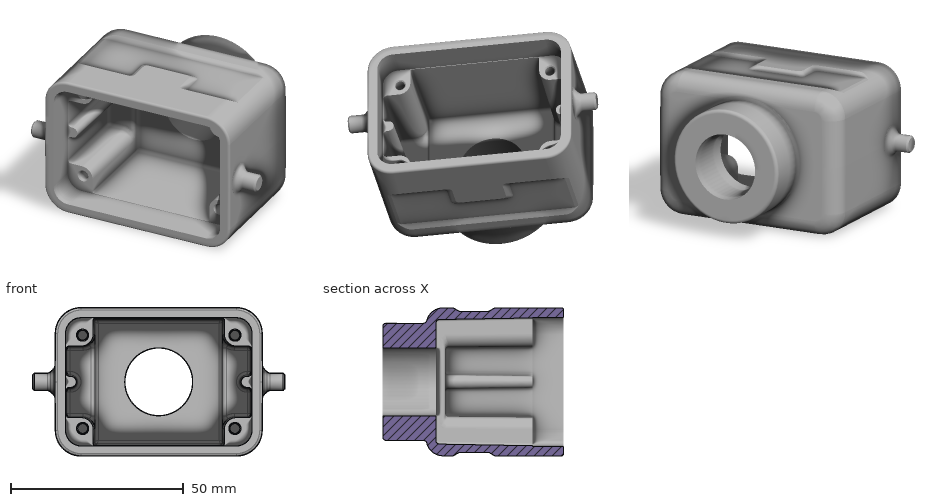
import cadquery as cq
import math

total_length = 52.5
body_depth = 39.9
body_half_x = 29.9
side_crown = 0.15
body_half_z = 21.5
corner_radius = 7.5
back_radius = 5.05
rim_radius = 0.7
wall = 2.9

neck_diameter = 34.1
neck_edge_radius = 1.0
neck_root_radius = 0.9
bore_diameter = 19.6

mouth_depth = 9.0
mouth_half_x = body_half_x - wall
mouth_half_z = body_half_z - wall
mouth_radius = corner_radius - wall
pocket_half_x = 19.0
pocket_half_z = mouth_half_z - 0.15
pocket_draft = 1.0
pocket_floor = body_depth - wall
bay_half_x = mouth_half_x - 0.15
bay_half_z = 10.4
bay_draft = 0.5
bay_floor = 34.3
pillar_radius = 3.4
inner_radius = 1.0
pocket_corner_radius = 0.6

rib_radius = 1.6
rib_tip_x = 23.9
rib_draft = 0.8

screw_x = 22.05
screw_z = 13.5
screw_diameter = 2.85
screw_mouth_diameter = 3.5
screw_depth = 10.95

pin_tip_x = 36.5
pin_y = 6.2
pin_radius = 2.55
pin_tip_chamfer = 0.5
pin_cone_corner_x = 31.7
pin_root_radius = 1.4

recess_depth = 1.0
recess_slope = 60.0
recess_front = 13.8
recess_back = 30.3
tongue_half_x = 9.2
tongue_back = 21.75
tongue_edge_radius = 2.9
recess_floor_half_x = 25.6
recess_edge_drop = 0.4
recess_edge_width = 1.5


def xz_plane(y):
    """Workplane at depth y with its normal along +Y; local axes are -X and Z."""
    return cq.Workplane(cq.Plane(origin=(0, y, 0), xDir=(-1, 0, 0), normal=(0, 1, 0)))


def tapered_pocket(half_x, half_z, floor, draft):
    """Drafted box cutter from the mouth to the given floor."""
    return xz_plane(mouth_depth).rect(2 * half_x, 2 * half_z).extrude(floor - mouth_depth, taper=draft)


def make_body():
    side_x = body_half_x + side_crown
    outline = [
        (side_x, 0),
        (body_half_x, body_half_z),
        (-body_half_x, body_half_z),
        (-side_x, 0),
        (-body_half_x, -body_half_z),
        (body_half_x, -body_half_z),
    ]
    body = xz_plane(0).polyline(outline).close().extrude(body_depth)
    side_bends = cq.selectors.BoxSelector((-72.3, -72.3, -0.7), (72.3, 72.3, 0.7))
    body = body.edges("|Y").edges(cq.selectors.InverseSelector(side_bends)).fillet(corner_radius)
    body = body.faces(">Y").edges().fillet(back_radius)
    return body.faces("<Y").edges().fillet(rim_radius)


def add_neck(body):
    neck = xz_plane(pocket_floor).circle(neck_diameter / 2).extrude(total_length - pocket_floor)
    neck = neck.faces(">Y").edges().fillet(neck_edge_radius)
    body = body.union(neck)
    reach = neck_diameter / 2 + neck_root_radius
    root = cq.selectors.BoxSelector(
        (-reach, body_depth - back_radius, -reach),
        (reach, body_depth + neck_root_radius / 2, reach),
        boundingbox=True,
    )
    return body.edges(root).fillet(neck_root_radius)


def make_pin():
    """Pin on the +X side: chamfered tip and a 45 degree root cone blended at both ends."""
    wall_x = body_half_x + side_crown
    cone_base_radius = pin_radius + pin_cone_corner_x - wall_x
    blend_length = pin_root_radius * math.tan(math.radians(22.5))
    blend_step = blend_length * math.cos(math.radians(45))
    profile = (
        cq.Workplane("XY", origin=(0, pin_y, 0))
        .moveTo(body_half_x - wall / 2, 0)
        .lineTo(pin_tip_x, 0)
        .lineTo(pin_tip_x, pin_radius - pin_tip_chamfer)
        .lineTo(pin_tip_x - pin_tip_chamfer, pin_radius)
        .lineTo(pin_cone_corner_x + blend_length, pin_radius)
        .tangentArcPoint((pin_cone_corner_x - blend_step, pin_radius + blend_step), relative=False)
        .lineTo(wall_x + blend_step, cone_base_radius - blend_step)
        .tangentArcPoint((wall_x, cone_base_radius + blend_length), relative=False)
        .lineTo(body_half_x - wall / 2, cone_base_radius + blend_length)
        .close()
    )
    return profile.revolve(360, (0, 0, 0), (1, 0, 0))


def both_sides(min_corner, max_corner):
    """Selector for edges wholly inside a box or its mirror image across X = 0."""
    x0, y0, z0 = min_corner
    x1, y1, z1 = max_corner
    plus = cq.selectors.BoxSelector((x0, y0, z0), (x1, y1, z1), boundingbox=True)
    minus = cq.selectors.BoxSelector((-x1, y0, z0), (-x0, y1, z1), boundingbox=True)
    return plus + minus


def make_cavity():
    mouth = xz_plane(0).rect(2 * mouth_half_x, 2 * mouth_half_z).extrude(mouth_depth)
    mouth = mouth.edges("|Y").fillet(mouth_radius)

    pocket = tapered_pocket(pocket_half_x, pocket_half_z, pocket_floor, pocket_draft)
    pocket = pocket.edges("not(#Y)").fillet(pocket_corner_radius)
    pocket = pocket.faces(">Y").edges().fillet(inner_radius)

    bays = tapered_pocket(bay_half_x, bay_half_z, bay_floor, bay_draft)
    for side in (1, -1):
        bays = bays.cut(make_rib(side))
    inside = pocket.union(bays)

    gap = 0.1
    start_y = mouth_depth - gap
    end_y = bay_floor + gap
    near_x = pocket_half_x - 0.7
    far_x = pocket_half_x + gap
    near_z = bay_half_z - 0.7
    far_z = bay_half_z + gap
    upper = both_sides((near_x, start_y, near_z), (far_x, end_y, far_z))
    lower = both_sides((near_x, start_y, -far_z), (far_x, end_y, -near_z))
    inside = inside.edges(upper + lower).fillet(pillar_radius)

    reach_z = bay_half_z + pillar_radius
    floor_edges = both_sides((near_x, bay_floor - gap, -reach_z), (body_half_x, end_y, reach_z))
    wall_corners = both_sides((bay_half_x - 0.7, start_y, -reach_z), (body_half_x, end_y, reach_z))
    upright = cq.selectors.ParallelDirSelector(cq.Vector(0, 0, 1))
    inside = inside.edges(floor_edges + (wall_corners - upright)).fillet(inner_radius)
    return mouth.union(inside)


def make_rib(side):
    """Round-nosed guide rib along one side wall; side is 1 for +X, -1 for -X."""
    nose_x = rib_tip_x + rib_radius
    rib = (
        xz_plane(mouth_depth)
        .moveTo(-side * body_half_x, rib_radius)
        .lineTo(-side * nose_x, rib_radius)
        .threePointArc((-side * rib_tip_x, 0), (-side * nose_x, -rib_radius))
        .lineTo(-side * body_half_x, -rib_radius)
        .close()
    )
    return rib.extrude(pocket_floor - mouth_depth, taper=-rib_draft)


def make_screw_holes():
    centers = [(x, z) for x in (-screw_x, screw_x) for z in (-screw_z, screw_z)]
    holes = xz_plane(mouth_depth).pushPoints(centers).circle(screw_diameter / 2).extrude(screw_depth)
    sink_depth = (screw_mouth_diameter - screw_diameter) / 2
    sinks = xz_plane(mouth_depth).pushPoints(centers).circle(screw_mouth_diameter / 2)
    return holes.union(sinks.extrude(sink_depth, taper=45))


def make_recess():
    """Cutter for the label recess on the +Z face."""
    facet_slope = recess_edge_drop / recess_edge_width
    side_x = body_half_x + 0.7
    side_drop = facet_slope * (side_x - recess_floor_half_x)
    floor_z = body_half_z - recess_depth
    foot_z = floor_z - side_drop
    run = math.tan(math.radians(recess_slope))

    back_foot = recess_back - run * side_drop
    front_foot = recess_front + run * side_drop
    top_run = run * recess_depth
    walls = [
        (front_foot, foot_z),
        (recess_front - top_run, body_half_z),
        (recess_back + top_run, body_half_z),
        (back_foot, foot_z),
    ]
    cutter = cq.Workplane("YZ").polyline(walls).close().extrude(side_x, both=True)

    crown = [
        (-side_x, foot_z - 0.7),
        (-side_x, foot_z),
        (-recess_floor_half_x, floor_z),
        (recess_floor_half_x, floor_z),
        (side_x, foot_z),
        (side_x, foot_z - 0.7),
    ]
    floor = xz_plane(0).polyline([(-x, z) for x, z in crown]).close().extrude(body_depth)
    cutter = cutter.cut(floor)

    tongue_front = -tongue_back
    tongue = (
        cq.Workplane("XY", origin=(0, 0, floor_z))
        .center(0, (tongue_back + tongue_front) / 2)
        .rect(2 * tongue_half_x, tongue_back - tongue_front)
        .extrude(recess_depth, taper=recess_slope)
    )
    cutter = cutter.cut(tongue)
    slanted = cq.selectors.BoxSelector(
        (-tongue_half_x - 0.1, recess_front - top_run - 0.1, floor_z - 0.1),
        (tongue_half_x + 0.1, tongue_back + 0.1, body_half_z + 0.1),
        boundingbox=True,
    )
    return cutter.edges(slanted).edges("not(#Z)").fillet(tongue_edge_radius)


hood = add_neck(make_body())
pin = make_pin()
hood = hood.union(pin).union(pin.mirror("YZ"))
hood = hood.cut(make_cavity()).cut(make_screw_holes())
hood = hood.cut(xz_plane(0).circle(bore_diameter / 2).extrude(total_length))
recess = make_recess()
result = hood.cut(recess).cut(recess.mirror("XY"))